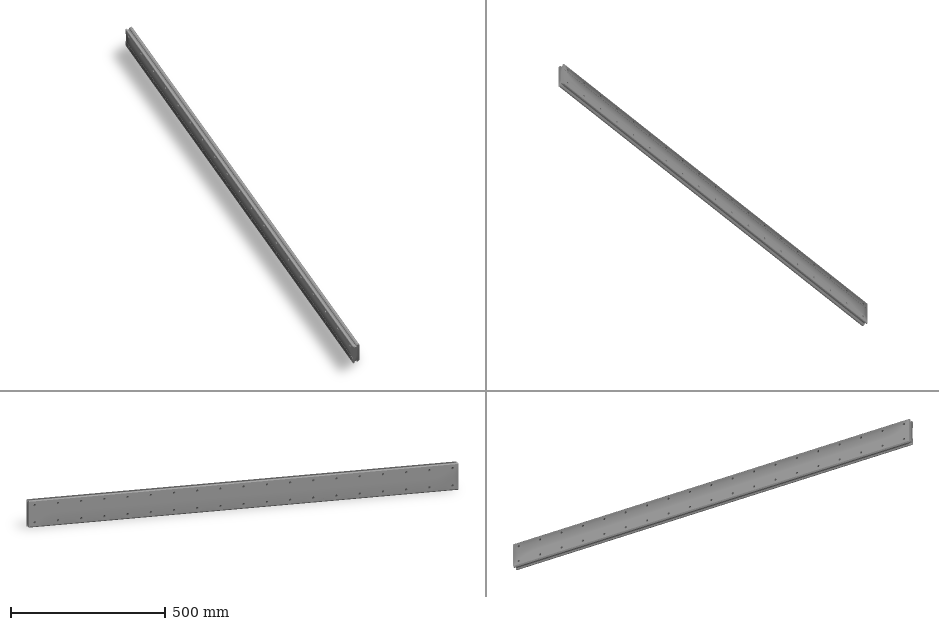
import cadquery as cq

length = 1480.0
depth = 24.0
height = 90.0

lip_thickness = 5.2
lip_bevel = 1.0

groove_width = 8.1
groove_depth = 7.0

ridge_chamfer = 3.4

channel_width = 40.0
channel_depth = 0.7

hole_diameter = 8.1
row_spacing = 58.0
holes_per_row = 19
hole_pitch = length / (holes_per_row - 0.5)


def rail_body():
    """Extrude the half section with front lip, groove and ridged rear rail, then mirror it."""
    top = height / 2
    front = -depth / 2
    back = depth / 2
    groove_front = front + lip_thickness
    groove_back = groove_front + groove_width
    half = (
        cq.Workplane("YZ", origin=(-length / 2, 0, 0))
        .moveTo(front, 0)
        .lineTo(front, top - lip_bevel)
        .lineTo(front + lip_bevel, top)
        .lineTo(groove_front, top)
        .lineTo(groove_front, top - groove_depth)
        .lineTo(groove_back, top - groove_depth)
        .lineTo(groove_back, top - ridge_chamfer)
        .lineTo(groove_back + ridge_chamfer, top)
        .lineTo(back - ridge_chamfer, top)
        .lineTo(back, top - ridge_chamfer)
        .lineTo(back, 0)
        .close()
        .extrude(length)
    )
    return half.union(half.mirror("XY")).clean()


def front_channel():
    """Full-length cutter for the shallow channel in the front face."""
    middle_y = (channel_depth - depth) / 2
    return cq.Workplane("XY", origin=(0, middle_y, 0)).box(length, channel_depth, channel_width)


def mounting_holes():
    """Cutters for both rows of holes, running through from back to front."""
    return (
        cq.Workplane("XZ", origin=(0, depth / 2, 0))
        .rarray(hole_pitch, row_spacing, holes_per_row, 2)
        .circle(hole_diameter / 2)
        .extrude(depth)
    )


result = rail_body().cut(front_channel()).cut(mounting_holes())